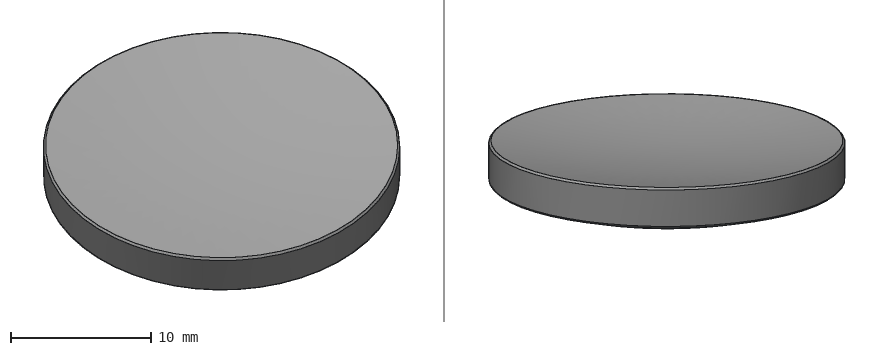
import cadquery as cq

diameter = 25.4
total_height = 5.05
rim_height = 3.0
bevel = 0.15
concave_sag = 1.02

radius = diameter / 2
face_radius = radius - bevel
convex_sag = total_height - rim_height


def arc_height(edge_height, sag, distance):
    """Height of a spherical face at a distance from the axis, sagging down to its centre."""
    sphere_radius = (face_radius**2 + sag**2) / (2 * sag)
    sphere_centre = edge_height - sag + sphere_radius
    return sphere_centre - (sphere_radius**2 - distance**2) ** 0.5


middle = face_radius / 2
half_section = (
    cq.Workplane("YZ")
    .moveTo(0, -convex_sag)
    .threePointArc((middle, arc_height(0, convex_sag, middle)), (face_radius, 0))
    .lineTo(radius, bevel)
    .lineTo(radius, rim_height - bevel)
    .lineTo(face_radius, rim_height)
    .threePointArc(
        (middle, arc_height(rim_height, concave_sag, middle)),
        (0, rim_height - concave_sag),
    )
    .close()
)

result = half_section.revolve(360, (0, 0, 0), (0, 1, 0))